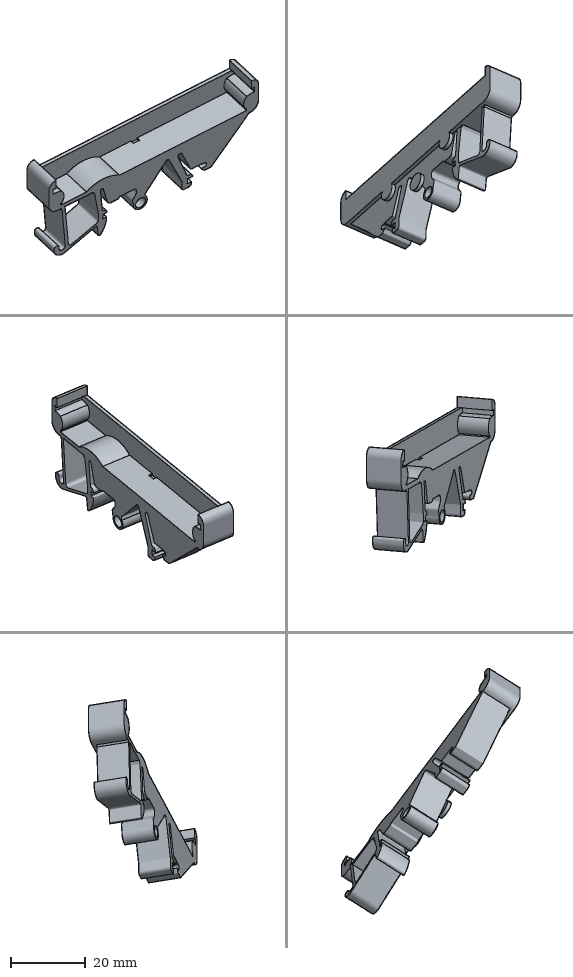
import cadquery as cq
import math


width = 10.0
length = 70.0
plate_thickness = 1.1
channel_height = 11.45
plate_height = 8.45
floor_thickness = 1.4
wall_thickness = 2.4
bottom_corner_radius = 3.0
half_length = length / 2
inner_half_length = half_length - wall_thickness

groove_depth = 1.0
groove_height = 1.6
bead_shoulder = 31.0
bead_reach = 30.0
groove_floor = plate_height - groove_height
bead_drop = 0.3
neck_height = 0.35
bead_underside = floor_thickness + neck_height
bead_middle = (groove_floor - bead_drop + bead_underside) / 2

hump_start = -11.5
hump_end = -22.5
hump_rise = 1.7

pocket_width = 1.1
pocket_length = 2.0
pocket_depth = 0.5

stud_radius = 2.5
outer_stud_offset = 13.5
outer_stud_z = -1.13
middle_stud_z = -6.7

eyelet_y = -4.45
eyelet_z = -12.73
eyelet_outer_radius = 2.27
eyelet_hole_radius = 1.65

root = floor_thickness / 2

foot_corners = [
    (31.85 + root, root, 0),
    (19.1, -12.85, 0.2),
    (16.9, -12.85, 0.2),
    (16.05, -11.95, 0.1),
    (16.05, -11.6, 0.1),
    (17.7, -11.3, 0.5),
    (17.5, -10.12, 0.5),
    (16.3, -10.1, 0),
    (16.1, -9.9, 0),
    (12.35, -9.9, 0.3),
    (9.25, -2.05, 0.4),
    (7.85, -2.05, 0.6),
    (11.15, -11.6, 0.7),
    (12.45, -11.6, 0.4),
    (13.1, -12.85, 0.15),
    (11.28, -12.85, 0),
    (11.28, -14.55, 0),
    (12.55, -14.55, 0),
    (12.55, -16.05, 0.9),
    (9.33, -16.05, 0.8),
    (9.33, -12.65, 0.5),
    (4.75, -1.4, 0.6),
    (-2.95, -10.4, 0.3),
    (-2.6, -11.6, 0),
    (-6.7, -12.6, 0),
    (-7.15, -10.4, 0.5),
    (-5.82, -8.5, 0.5),
    (-5.82, -6.54, 0.9),
    (-11.5, -6.54, 0.25),
    (-11.85, -7.17, 0.25),
    (-15.25, -7.17, 1.3),
    (-16.95, -0.35, 0.42),
    (-17.87, -0.35, 0.42),
    (-17.15, -8.55, 0.3),
    (-15.85, -9.2, 0.3),
    (-15.6, -9.85, 0.1),
    (-17.0, -10.2, 0.3),
    (-17.0, -11.6, 0),
    (-15.75, -11.6, 0.1),
    (-15.8, -14.5, 8.0),
    (-17.85, -17.09, 0.15),
    (-18.5, -17.09, 0.2),
    (-18.95, -13.3, 0.3),
    (-19.6, -13.2, 0.3),
    (-30.6, -17.23, 2.0),
    (-33.25, -16.15, 2.6),
    (-33.3, -13.05, 0.75),
    (-31.75, -13.05, 0.7),
    (-31.5, -15.4, 0.85),
    (-29.5, -15.4, 0.85),
    (-30.65, -0.5, 0),
    (-31.0, 0, 0),
    (-31.0, root, 0),
]

window_corners = [
    (-20.5, 0, 0),
    (-19.75, -0.75, 0.5),
    (-18.5, -9.2, 1.0),
    (-18.5, -11.85, 0.7),
    (-28.45, -15.5, 0.9),
    (-29.65, 0, 0),
]


def rounded_outline(corners, x_start):
    """Closed outline in the YZ plane with a tangent arc at each rounded corner."""
    outline = cq.Workplane("YZ").workplane(offset=x_start)
    started = False
    for i, (y, z, radius) in enumerate(corners):
        corner = cq.Vector(y, z, 0)
        previous = cq.Vector(*corners[i - 1][:2], 0)
        following = cq.Vector(*corners[(i + 1) % len(corners)][:2], 0)
        back = (previous - corner).normalized()
        ahead = (following - corner).normalized()
        entry = corner
        if radius > 0:
            half_angle = back.getAngle(ahead) / 2
            setback = radius / math.tan(half_angle)
            entry = corner + back * setback
        if started:
            outline = outline.lineTo(entry.x, entry.y)
        else:
            outline = outline.moveTo(entry.x, entry.y)
            started = True
        if radius > 0:
            leave = corner + ahead * setback
            to_crown = radius / math.sin(half_angle) - radius
            crown = corner + (back + ahead).normalized() * to_crown
            outline = outline.threePointArc((crown.x, crown.y), (leave.x, leave.y))
    return outline.close()


def centred_box(x_size, y_size, z_size, x_start, z_start):
    """Box centred on Y, starting at the given X and Z."""
    box = cq.Workplane("XY").box(x_size, y_size, z_size, centered=(False, True, False))
    return box.translate((x_start, 0, z_start))


def rounded_block():
    """Full channel block with rounded ends, before anything is cut from it."""
    block = centred_box(width, length, channel_height, 0, 0)
    block = block.edges("|X and <Z").fillet(bottom_corner_radius)
    return block.edges("|X and >Z").fillet(wall_thickness)


def bead(side):
    """Rounded bead between the floor and one board groove; side is +1 or -1."""
    return (
        cq.Workplane("YZ")
        .workplane(offset=plate_thickness)
        .moveTo(side * (inner_half_length + groove_depth), root)
        .lineTo(side * (inner_half_length + groove_depth), groove_floor)
        .lineTo(side * inner_half_length, groove_floor)
        .lineTo(side * bead_shoulder, groove_floor - bead_drop)
        .threePointArc((side * bead_reach, bead_middle), (side * bead_shoulder, bead_underside))
        .lineTo(side * bead_shoulder, root)
        .close()
        .extrude(width - plate_thickness)
    )


def channel():
    inner_length = 2 * inner_half_length
    groove_length = inner_length + 2 * groove_depth
    above_plate = centred_box(width, inner_length, channel_height, 0, plate_height)
    above_floor = centred_box(width, inner_length, channel_height, plate_thickness, floor_thickness)
    grooves = centred_box(width, groove_length, groove_height, plate_thickness, groove_floor)
    body = rounded_block().cut(above_plate).cut(above_floor).cut(grooves)
    return body.union(bead(1)).union(bead(-1))


def hump():
    middle = (hump_start + hump_end) / 2
    return (
        cq.Workplane("YZ")
        .workplane(offset=plate_thickness)
        .moveTo(hump_start, root)
        .lineTo(hump_start, floor_thickness)
        .threePointArc((middle, floor_thickness + hump_rise), (hump_end, floor_thickness))
        .lineTo(hump_end, root)
        .close()
        .extrude(width - plate_thickness)
    )


def floor_pocket():
    pocket_floor = floor_thickness - pocket_depth
    return centred_box(pocket_width, pocket_length, pocket_depth, plate_thickness, pocket_floor)


def cylinder_along_x(y, z, radius, x_start, x_end):
    return (
        cq.Workplane("YZ")
        .workplane(offset=x_start)
        .center(y, z)
        .circle(radius)
        .extrude(x_end - x_start)
    )


def foot():
    depth = width - plate_thickness
    body = rounded_outline(foot_corners, plate_thickness).extrude(depth)
    window = rounded_outline(window_corners, plate_thickness).extrude(depth)
    eyelet = cylinder_along_x(eyelet_y, eyelet_z, eyelet_outer_radius, plate_thickness, width)
    eyelet_hole = cylinder_along_x(eyelet_y, eyelet_z, eyelet_hole_radius, plate_thickness, width)
    return body.cut(window).union(eyelet).cut(eyelet_hole)


def stud(y, z):
    """Round locating stud, as thick as the plate."""
    return cylinder_along_x(y, z, stud_radius, 0, plate_thickness)


result = channel().union(hump()).cut(floor_pocket()).union(foot())
result = result.union(stud(0, middle_stud_z))
for side in (1, -1):
    result = result.union(stud(side * outer_stud_offset, outer_stud_z))